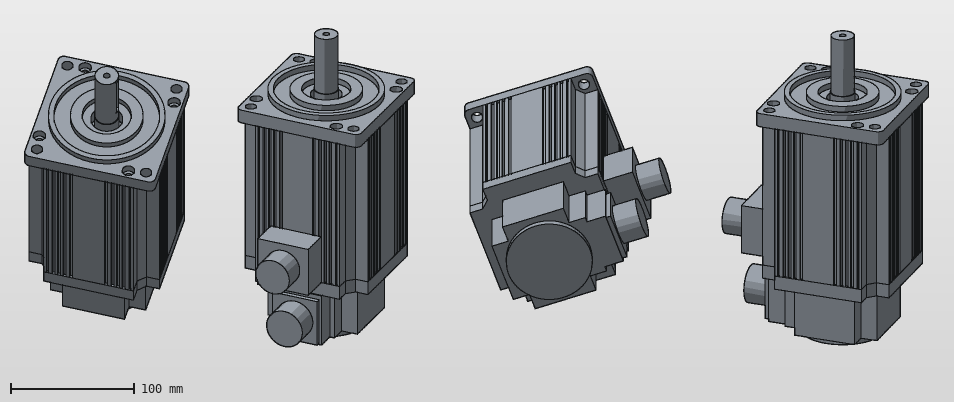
import cadquery as cq

MOTOR_WIDTH = 110.0
HALF_WIDTH = MOTOR_WIDTH / 2

COVER_BOTTOM_Z = 5.5
REAR_PLATE_Z = 50.5
STATOR_Z = 62.2
FLANGE_Z = 192.5
FLANGE_FACE_Z = 204.0
PILOT_TOP_Z = 209.0
SHAFT_TOP_Z = 259.0

FLANGE_CORNER_RADIUS = 5.0
PILOT_RADIUS = 47.5
RECESS_RADIUS = 43.0
HUB_RADIUS = 29.5
HUB_BORE_RADIUS = 20.0
SEAL_BORE_RADIUS = 13.0
MOUNT_HOLE_SPACING = 92.0
MOUNT_HOLE_DIAMETER = 9.0
SCREW_OFFSET_LONG = 48.0
SCREW_OFFSET_SHORT = 31.5
SCREW_HOLE_DIAMETER = 5.2
SCREW_HEAD_DIAMETER = 10.0
SCREW_HEAD_DEPTH = 6.5

FACE_HALF_WIDTH = 37.8
RELIEF_DEPTH = 11.0

WIDE_GROOVE_OFFSETS = [14.8, 20.2, 24.9, 29.5]
WIDE_GROOVE_WIDTH = 2.3
EDGE_GROOVE_OFFSET = 34.7
EDGE_GROOVE_WIDTH = 1.5
GROOVE_DEPTH = 2.0

SHAFT_RADIUS = 9.5
SHOULDER_RADIUS = 10.0
KEYWAY_WIDTH = 6.0
KEYWAY_DEPTH = 3.5
KEYWAY_BOTTOM_Z = 218.0
KEYWAY_TOP_Z = 256.0
CENTRE_HOLE_RADIUS = 2.5
CENTRE_HOLE_DEPTH = 7.8

COVER_HALF_WIDTH = 40.1
COVER_NOTCH = 14.0
COVER_BOSS_RADIUS = 35.0
OUTLET_HALF_WIDTH = 22.0
OUTLET_END_Y = 56.0

MOTOR_BOX_LENGTH = 24.9
MOTOR_PLUG_LENGTH = 20.0
CONNECTOR_END_Y = HALF_WIDTH + MOTOR_BOX_LENGTH
MOTOR_BOX_WIDTH = 45.3
MOTOR_BOX_TOP_Z = 104.0
MOTOR_CONNECTOR_X = 1.3
MOTOR_PLUG_RADIUS = 15.0
ENCODER_PLATE_WIDTH = 40.0
ENCODER_PLATE_THICKNESS = 4.0
ENCODER_PLUG_RADIUS = 16.0
ENCODER_CONNECTOR_Z = 26.7


def cylinder(radius, bottom, top):
    """Upright cylinder on the motor axis."""
    return cq.Workplane("XY").workplane(offset=bottom).circle(radius).extrude(top - bottom)


def box(x_range, y_range, z_range):
    """Block spanning the given (low, high) ranges."""
    size = [high - low for low, high in (x_range, y_range, z_range)]
    return cq.Workplane("XY").box(*size, centered=False).translate((x_range[0], y_range[0], z_range[0]))


def plug(x, z, radius, start_y, end_y):
    """Cylinder pointing along +Y."""
    plane = cq.Plane(origin=(x, start_y, z), xDir=(1, 0, 0), normal=(0, 1, 0))
    return cq.Workplane(plane).circle(radius).extrude(end_y - start_y)


def relieved_square(bottom, top):
    """Square prism whose corners are cut back by a step with a 45 degree inner face."""
    step = HALF_WIDTH - RELIEF_DEPTH
    prism = cq.Workplane("XY").workplane(offset=bottom).rect(MOTOR_WIDTH, MOTOR_WIDTH).extrude(top - bottom)
    corner = (
        cq.Workplane("XY")
        .workplane(offset=bottom)
        .moveTo(FACE_HALF_WIDTH, HALF_WIDTH)
        .lineTo(FACE_HALF_WIDTH, step)
        .lineTo(step, FACE_HALF_WIDTH)
        .lineTo(HALF_WIDTH, FACE_HALF_WIDTH)
        .lineTo(HALF_WIDTH, HALF_WIDTH)
        .close()
        .extrude(top - bottom)
    )
    for quarter in range(4):
        prism = prism.cut(corner.rotate((0, 0, 0), (0, 0, 1), 90 * quarter))
    return prism


def make_flange():
    thickness = FLANGE_FACE_Z - FLANGE_Z
    flange = (
        cq.Workplane("XY")
        .workplane(offset=FLANGE_Z)
        .rect(MOTOR_WIDTH, MOTOR_WIDTH)
        .extrude(thickness)
        .edges("|Z")
        .fillet(FLANGE_CORNER_RADIUS)
    )

    flange = flange.union(cylinder(PILOT_RADIUS, FLANGE_Z, PILOT_TOP_Z))
    flange = flange.cut(cylinder(RECESS_RADIUS, FLANGE_FACE_Z, PILOT_TOP_Z))
    flange = flange.union(cylinder(HUB_RADIUS, FLANGE_Z, PILOT_TOP_Z))
    flange = flange.cut(cylinder(HUB_BORE_RADIUS, FLANGE_FACE_Z, PILOT_TOP_Z))
    flange = flange.cut(cylinder(SEAL_BORE_RADIUS, FLANGE_Z, FLANGE_FACE_Z))

    face = cq.Workplane("XY").workplane(offset=FLANGE_FACE_Z)
    mount_holes = (
        face.rect(MOUNT_HOLE_SPACING, MOUNT_HOLE_SPACING, forConstruction=True)
        .vertices()
        .circle(MOUNT_HOLE_DIAMETER / 2)
        .extrude(-thickness)
    )
    flange = flange.cut(mount_holes)

    screw_points = [
        (SCREW_OFFSET_LONG, SCREW_OFFSET_SHORT),
        (-SCREW_OFFSET_SHORT, SCREW_OFFSET_LONG),
        (-SCREW_OFFSET_LONG, -SCREW_OFFSET_SHORT),
        (SCREW_OFFSET_SHORT, -SCREW_OFFSET_LONG),
    ]
    screws = face.pushPoints(screw_points)
    flange = flange.cut(screws.circle(SCREW_HEAD_DIAMETER / 2).extrude(-SCREW_HEAD_DEPTH))
    return flange.cut(screws.circle(SCREW_HOLE_DIAMETER / 2).extrude(-thickness))


def make_stator():
    stator = relieved_square(STATOR_Z, FLANGE_Z)
    grooves = [(offset, WIDE_GROOVE_WIDTH) for offset in WIDE_GROOVE_OFFSETS]
    grooves.append((EDGE_GROOVE_OFFSET, EDGE_GROOVE_WIDTH))

    face_grooves = cq.Workplane("XY").workplane(offset=STATOR_Z)
    for offset, width in grooves:
        face_grooves = face_grooves.pushPoints([(offset, HALF_WIDTH), (-offset, HALF_WIDTH)])
        face_grooves = face_grooves.rect(width, 2 * GROOVE_DEPTH)
    face_grooves = face_grooves.extrude(FLANGE_Z - STATOR_Z)
    for quarter in range(4):
        stator = stator.cut(face_grooves.rotate((0, 0, 0), (0, 0, 1), 90 * quarter))
    return stator


def make_rear_plate():
    return relieved_square(REAR_PLATE_Z, STATOR_Z)


def make_shaft():
    shaft = cylinder(SHOULDER_RADIUS, FLANGE_Z, PILOT_TOP_Z)
    shaft = shaft.union(cylinder(SHAFT_RADIUS, FLANGE_Z, SHAFT_TOP_Z))

    keyway = box(
        (SHAFT_RADIUS - KEYWAY_DEPTH, SHAFT_RADIUS),
        (-KEYWAY_WIDTH / 2, KEYWAY_WIDTH / 2),
        (KEYWAY_BOTTOM_Z, KEYWAY_TOP_Z),
    )
    shaft = shaft.cut(keyway)

    centre_hole = (
        cq.Workplane("XZ")
        .moveTo(0, SHAFT_TOP_Z)
        .lineTo(CENTRE_HOLE_RADIUS, SHAFT_TOP_Z)
        .lineTo(CENTRE_HOLE_RADIUS, SHAFT_TOP_Z - CENTRE_HOLE_DEPTH)
        .lineTo(0, SHAFT_TOP_Z - CENTRE_HOLE_DEPTH - CENTRE_HOLE_RADIUS)
        .close()
        .revolve(360, (0, 0, 0), (0, 1, 0))
    )
    return shaft.cut(centre_hole)


def make_encoder_cover():
    z_range = (COVER_BOTTOM_Z, REAR_PLATE_Z)
    inner = COVER_HALF_WIDTH - COVER_NOTCH

    blocks = [(COVER_HALF_WIDTH, inner), (inner, COVER_HALF_WIDTH)]
    cover = cylinder(COVER_BOSS_RADIUS, 0, REAR_PLATE_Z)
    for half_x, half_y in blocks:
        y_range = (-half_y, half_y)
        cover = cover.union(box((-half_x, half_x), y_range, z_range))

    return cover.union(box((-OUTLET_HALF_WIDTH, OUTLET_HALF_WIDTH), (0, OUTLET_END_Y), z_range))


def make_motor_connector():
    left_x = MOTOR_CONNECTOR_X - MOTOR_BOX_WIDTH / 2
    housing = box(
        (left_x, left_x + MOTOR_BOX_WIDTH), (HALF_WIDTH, CONNECTOR_END_Y), (STATOR_Z, MOTOR_BOX_TOP_Z)
    )
    plug_z = (STATOR_Z + MOTOR_BOX_TOP_Z) / 2
    plug_end_y = CONNECTOR_END_Y + MOTOR_PLUG_LENGTH
    return housing.union(plug(MOTOR_CONNECTOR_X, plug_z, MOTOR_PLUG_RADIUS, CONNECTOR_END_Y, plug_end_y))


def make_encoder_connector():
    half = ENCODER_PLATE_WIDTH / 2
    plate_end_y = OUTLET_END_Y + ENCODER_PLATE_THICKNESS
    plate = box(
        (-half, half),
        (OUTLET_END_Y, plate_end_y),
        (ENCODER_CONNECTOR_Z - half, ENCODER_CONNECTOR_Z + half),
    )
    return plate.union(plug(0, ENCODER_CONNECTOR_Z, ENCODER_PLUG_RADIUS, plate_end_y, CONNECTOR_END_Y))


flange = make_flange()
stator = make_stator()
rear_plate = make_rear_plate()
shaft = make_shaft()
encoder_cover = make_encoder_cover()
motor_connector = make_motor_connector()
encoder_connector = make_encoder_connector()

result = cq.Compound.makeCompound(
    [
        flange.val(),
        stator.val(),
        rear_plate.val(),
        shaft.val(),
        encoder_cover.val(),
        motor_connector.val(),
        encoder_connector.val(),
    ]
)